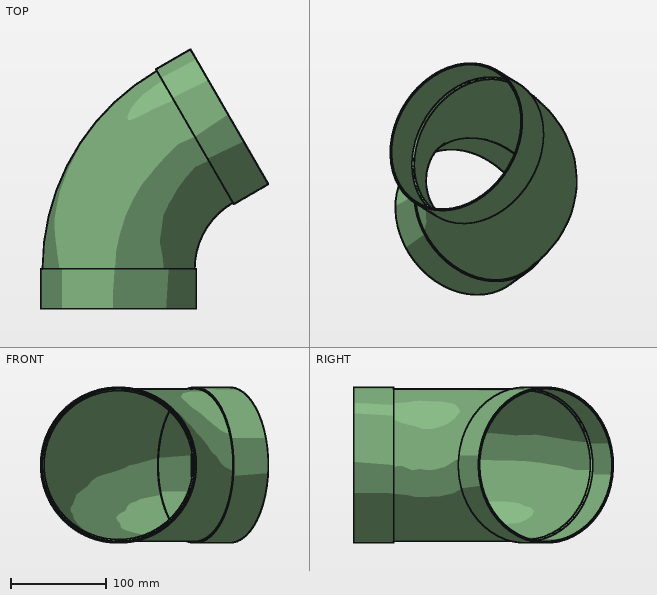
import cadquery as cq
import math

bend_angle = 60.0
bend_radius = 160.0
bend_diameter = 160.0
sleeve_diameter = 163.5
sleeve_bore = 160.0
sleeve_length = 42.0
bend_wall = 2.0
taper_length = 2.0
bend_bore = bend_diameter - 2 * bend_wall

turn = math.radians(bend_angle)
bend_start = cq.Vector(0, sleeve_length, 0)
bend_end = bend_start + cq.Vector(
    bend_radius * (1 - math.cos(turn)),
    bend_radius * math.sin(turn),
    0,
)
start_direction = cq.Vector(0, -1, 0)
end_direction = cq.Vector(math.sin(turn), math.cos(turn), 0)


def sleeve(bend_face_center, direction):
    """Sleeve running from the bend along a direction, its bore tapering out from the bend bore."""
    profile = [
        (bend_bore / 2, 0),
        (sleeve_diameter / 2, 0),
        (sleeve_diameter / 2, sleeve_length),
        (sleeve_bore / 2, sleeve_length),
        (sleeve_bore / 2, taper_length),
    ]
    radial = cq.Vector(0, 0, 1)
    axial_plane = cq.Plane(origin=bend_face_center, xDir=radial, normal=radial.cross(direction))
    return cq.Workplane(axial_plane).polyline(profile).close().revolve(360, (0, 0), (0, 1))


def bend():
    """Ring section swept about a Z-parallel axis at the bend centre."""
    return (
        cq.Workplane("XZ", origin=bend_start.toTuple())
        .circle(bend_diameter / 2)
        .circle(bend_bore / 2)
        .revolve(bend_angle, (bend_radius, 2.7, 0), (bend_radius, -2.7, 0))
    )


start_sleeve = sleeve(bend_start, start_direction)
end_sleeve = sleeve(bend_end, end_direction)
result = bend().union(start_sleeve).union(end_sleeve)